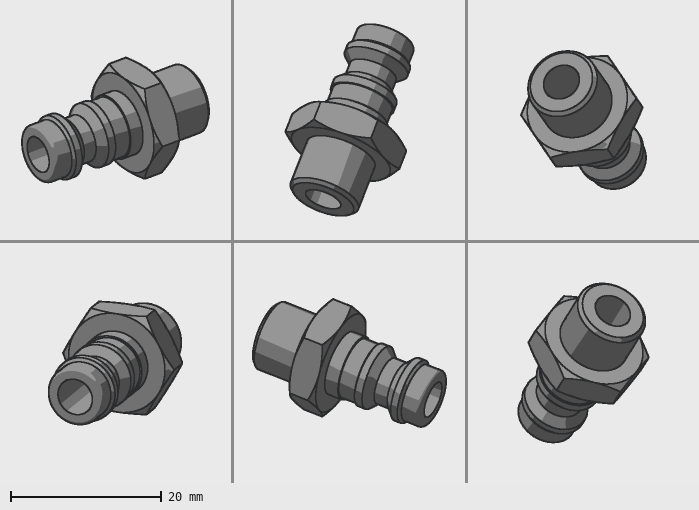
import cadquery as cq
import math

length = 25.0
bore_radius = 2.5

nose_radius = 4.05
collar_radius = 4.5
neck_radius = 3.3
groove_radius = 4.25
nose_fillet = 0.5

nose_end = 2.62
front_collar_start = 3.0
front_collar_end = 4.0
rear_collar_start = 8.35
rear_collar_end = 9.5
groove_end = 12.0
hex_start = 14.0
hex_end = 18.0

across_flats = 14.0
hex_chamfer_angle = 30.0
shank_radius = 4.85
shank_chamfer = 0.5

flat_radius = across_flats / 2
corner_radius = flat_radius / math.cos(math.radians(30))
neck_taper = collar_radius - neck_radius


def revolve_about_y(points):
    """Revolve a closed (radius, Y) outline about the Y axis."""
    return cq.Workplane("XY").polyline(points).close().revolve(360, (0, 0, 0), (0, 1, 0))


def make_plug():
    plug = revolve_about_y([
        (0, 0),
        (nose_radius, 0),
        (nose_radius, nose_end),
        (collar_radius, front_collar_start),
        (collar_radius, front_collar_end),
        (neck_radius, front_collar_end + neck_taper),
        (neck_radius, rear_collar_start - neck_taper),
        (collar_radius, rear_collar_start),
        (collar_radius, rear_collar_end),
        (groove_radius, rear_collar_end),
        (groove_radius, groove_end),
        (collar_radius, groove_end),
        (collar_radius, hex_start),
        (0, hex_start),
    ])
    return plug.faces("<Y").edges().fillet(nose_fillet)


def make_hexagon():
    """Hexagon with corners on the X axis, its corners coned off at both ends."""
    prism = (
        cq.Workplane("XZ", origin=(0, hex_start, 0))
        .polygon(6, 2 * corner_radius)
        .extrude(hex_start - hex_end)
    )
    cone_outer_radius = corner_radius + 0.25
    cone_height = (cone_outer_radius - flat_radius) * math.tan(math.radians(hex_chamfer_angle))
    envelope = revolve_about_y([
        (0, hex_start),
        (flat_radius, hex_start),
        (cone_outer_radius, hex_start + cone_height),
        (cone_outer_radius, hex_end - cone_height),
        (flat_radius, hex_end),
        (0, hex_end),
    ])
    return prism.intersect(envelope)


def make_shank():
    shank = cq.Workplane("XZ", origin=(0, hex_end, 0)).circle(shank_radius).extrude(hex_end - length)
    return shank.faces(">Y").edges().chamfer(shank_chamfer)


bore = cq.Workplane("XZ").circle(bore_radius).extrude(-length)
result = make_plug().union(make_hexagon()).union(make_shank()).cut(bore)